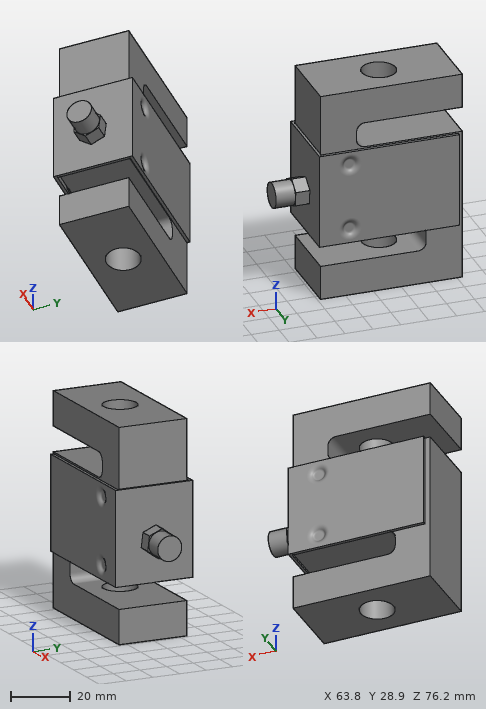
import cadquery as cq
import math

body_length = 50.8
body_depth = 25.4
body_height = 76.2
arm_thickness = 12.4
slot_height = 9.0
slot_length = 37.9
slot_corner_radius = 3.0
load_hole_diameter = 12.1

cover_start = 1.7
cover_end = 51.8
cover_width = 28.9
cover_height = 34.0
cover_center_z = -0.5
cover_side_thickness = 1.15
cover_inner_width = cover_width - 2 * cover_side_thickness
cover_gap = (cover_inner_width - body_depth) / 2

seat_x = 40.7
seat_spacing = 23.9
seat_diameter = 8.1
seat_throat_diameter = 4.5
seat_floor_diameter = 3.0
seat_depth = cover_side_thickness

connector_z = -2.7
nut_end = 56.85
nut_across_corners = 10.6
nut_turn = 23.0
barrel_diameter = 9.0
connector_end = 63.8


def make_slot_cutter():
    """Upper slot, open on the left face, with its two inner corners rounded."""
    slot_center_z = body_height / 2 - arm_thickness - slot_height / 2
    return (
        cq.Workplane("XY")
        .box(slot_length, body_depth, slot_height)
        .edges("|Y and >X")
        .fillet(slot_corner_radius)
        .translate((slot_length / 2, 0, slot_center_z))
    )


def make_body():
    """S-shaped block; its lower half is its upper half turned about the Y axis."""
    center = (body_length / 2, 0, 0)
    block = cq.Workplane("XY").box(body_length, body_depth, body_height).translate(center)
    load_hole = (
        cq.Workplane("XY", origin=(body_length / 2, 0, body_height / 2))
        .circle(load_hole_diameter / 2)
        .extrude(-arm_thickness)
    )
    cutters = make_slot_cutter().union(load_hole)
    axis_end = (body_length / 2, 1, 0)
    return block.cut(cutters).cut(cutters.rotate(center, axis_end, 180))


def make_seat_cutter():
    """Blind dish whose wall is a rounded lip running smoothly into a rounded floor edge."""
    outer_radius = seat_diameter / 2
    throat_radius = seat_throat_diameter / 2
    floor_radius = seat_floor_diameter / 2
    half_slope = math.atan2(seat_depth, outer_radius - floor_radius)
    throat_depth = (outer_radius - throat_radius) * math.tan(half_slope)
    slope = 2 * half_slope
    lip_radius = (outer_radius - throat_radius) / math.sin(slope)
    edge_radius = (throat_radius - floor_radius) / math.sin(slope)
    lip_middle = (
        outer_radius - lip_radius * math.sin(half_slope),
        lip_radius * (1 - math.cos(half_slope)),
    )
    edge_middle = (
        floor_radius + edge_radius * math.sin(half_slope),
        seat_depth - edge_radius * (1 - math.cos(half_slope)),
    )
    return (
        cq.Workplane("XY")
        .lineTo(outer_radius, 0)
        .threePointArc(lip_middle, (throat_radius, throat_depth))
        .threePointArc(edge_middle, (floor_radius, seat_depth))
        .lineTo(0, seat_depth)
        .close()
        .revolve(360, (0, 0, 0), (0, 1, 0))
        .translate((0, -cover_width / 2, 0))
    )


def make_seat_boss():
    """Back of a seat, bridging the gap from the front cover side to the body."""
    return (
        cq.Workplane("XZ", origin=(0, -body_depth / 2, 0))
        .circle(seat_diameter / 2)
        .extrude(cover_gap)
    )


def make_cover():
    length = cover_end - cover_start
    inner_length = body_length - cover_start
    outer = cq.Workplane("XY").box(length, cover_width, cover_height)
    outer = outer.translate((cover_start + length / 2, 0, cover_center_z))
    inner = cq.Workplane("XY").box(inner_length, cover_inner_width, cover_height)
    inner = inner.translate((cover_start + inner_length / 2, 0, cover_center_z))
    cover = outer.cut(inner)
    boss = make_seat_boss()
    cutter = make_seat_cutter()
    for side_turn in (0, 180):
        for offset in (-seat_spacing / 2, seat_spacing / 2):
            place = (seat_x, 0, cover_center_z + offset)
            cover = cover.union(boss.rotate((0, 0, 0), (0, 0, 1), side_turn).translate(place))
            cover = cover.cut(cutter.rotate((0, 0, 0), (0, 0, 1), side_turn).translate(place))
    return cover


def make_connector():
    nut = (
        cq.Workplane("YZ")
        .polygon(6, nut_across_corners)
        .extrude(nut_end - cover_end)
        .rotate((0, 0, 0), (1, 0, 0), nut_turn)
        .translate((cover_end, 0, connector_z))
    )
    barrel = (
        cq.Workplane("YZ", origin=(nut_end, 0, connector_z))
        .circle(barrel_diameter / 2)
        .extrude(connector_end - nut_end)
    )
    return nut.union(barrel)


body = make_body()
cover = make_cover()
connector = make_connector()

result = cq.Compound.makeCompound([body.val(), cover.val(), connector.val()])